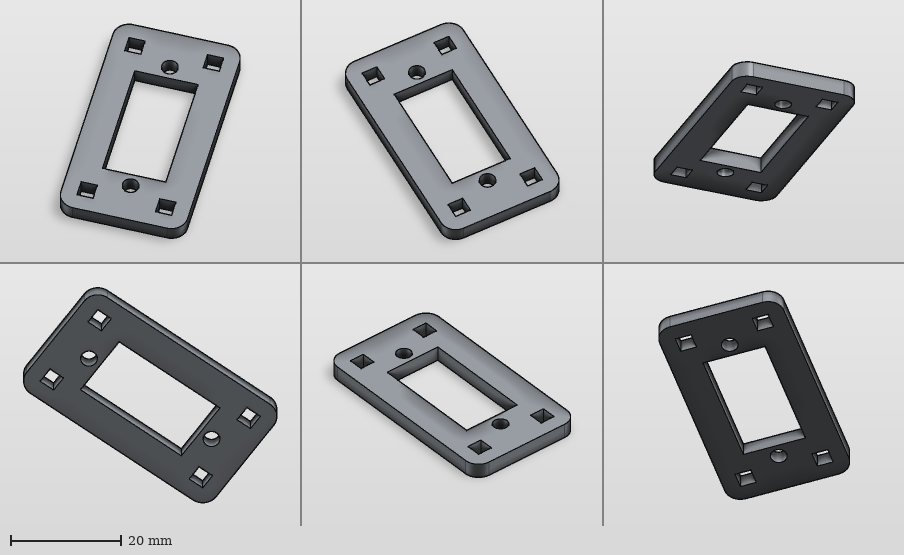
import cadquery as cq

length = 42.5
width = 23.8
thickness = 3.0
corner_radius = thickness

window_width = width / 2
window_length = 22.6

screw_hole_diameter = 3.0
screw_hole_spacing = 27.5

square_side = 3.0
edge_margin = square_side
square_spacing_x = width - 2 * edge_margin - square_side
square_spacing_y = length - 2 * edge_margin - square_side

plate = (
    cq.Workplane("XY")
    .rect(width, length)
    .extrude(thickness)
    .edges("|Z")
    .fillet(corner_radius)
)

window = cq.Workplane("XY").rect(window_width, window_length).extrude(thickness)

screw_holes = (
    cq.Workplane("XY")
    .rarray(0.42, screw_hole_spacing, 1, 2)
    .circle(screw_hole_diameter / 2)
    .extrude(thickness)
)

square_holes = (
    cq.Workplane("XY")
    .rarray(square_spacing_x, square_spacing_y, 2, 2)
    .rect(square_side, square_side)
    .extrude(thickness)
)

result = plate.cut(window).cut(screw_holes).cut(square_holes)